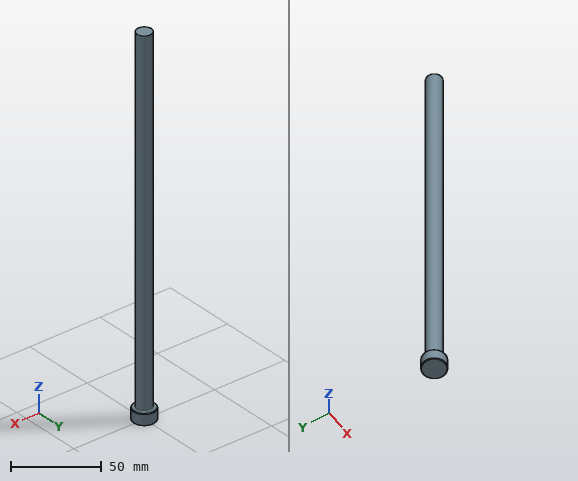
import cadquery as cq

total_length = 250.0
shaft_diameter = 10.0
head_diameter = 15.0
head_height = 8.0
head_edge_chamfer = 0.5
neck_fillet_radius = 0.5


def make_head():
    """Round head with both rims chamfered."""
    head = cq.Workplane("XY").circle(head_diameter / 2).extrude(head_height)
    return head.edges("%CIRCLE").chamfer(head_edge_chamfer)


def make_shaft():
    """Plain shaft running the full length of the pin."""
    return cq.Workplane("XY").circle(shaft_diameter / 2).extrude(total_length)


def neck_edge_selector():
    """Small box around the circle where the shaft leaves the head."""
    reach = (shaft_diameter + head_diameter) / 4
    margin = head_height / 4
    return cq.selectors.BoxSelector(
        (-reach, -reach, head_height - margin),
        (reach, reach, head_height + margin),
        boundingbox=True,
    )


pin = make_head().union(make_shaft())
result = pin.edges(neck_edge_selector()).fillet(neck_fillet_radius)